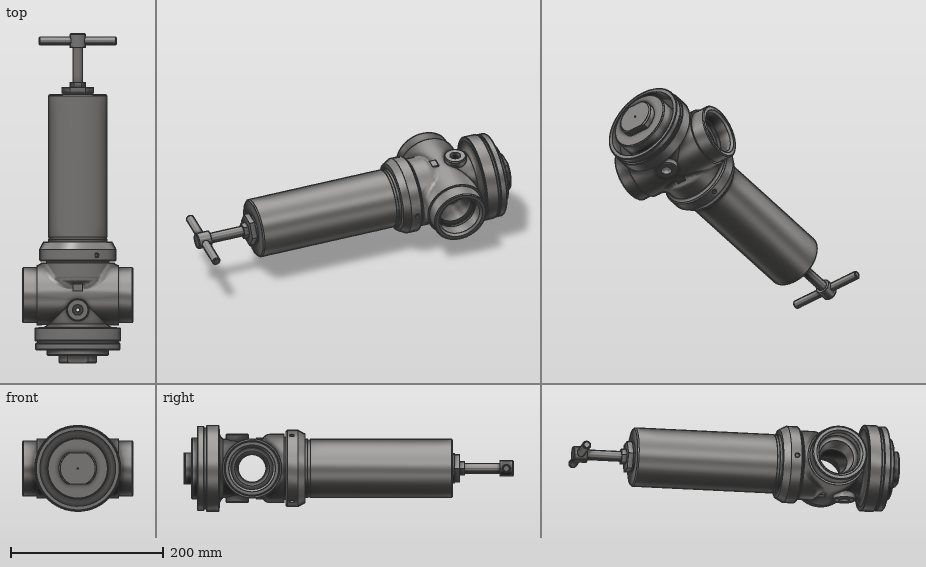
import cadquery as cq

port_half_length = 72.53
port_radius = 36.5
port_chamfer = 1.5
barrel_half_length = 53.3
barrel_radius = 39.0
port_bore_radius = 27.5
port_bore_depth = 24.5
port_bore_chamfer = 3.0
port_groove_radius = 30.0
port_groove_width = 6.0
port_step_radius = 23.0
throat_radius = 18.0
chamber_radius = 26.0
chamber_top = 26.0
neck_radius = 45.0
neck_top = 42.0
neck_round_start = 24.0
neck_round_radius = 11.0
neck_blend = 10.0
neck_spare_height = 43.5
spigot_radius = 41.0
spigot_top = 52.0
pad_width = 12.0
pad_end = 5.5
pad_height = 40.3
skirt_radius = 38.5
skirt_bottom = -38.0
skirt_blend_middle = (41.5, -41.0)
skirt_collar_radius = 51.0
skirt_collar_top = -43.0
flange_radius = 56.5
flange_top = -43.5
flange_bottom = -60.0
flange_chamfer = 1.0

boss_y = -19.5
boss_radius = 14.7
boss_height = 45.0
boss_chamfer = 1.5
boss_bore_radius = 7.0
boss_bore_depth = 13.0
boss_hole_radius = 2.5

cap_neck_radius = 53.3
cap_top = -50.2
rim_top = -63.2
rim_bottom = -72.0
rim_radius = 55.5
rim_chamfer = 1.0
rim_inner_radius = 50.0
rim_recess_depth = 17.5
hub_radius = 40.3
hub_bottom = -79.5
hub_chamfer = 1.5
stub_radius = 24.5
stub_bottom = -89.4
stub_chamfer = 1.7
stub_flat_width = 41.0
centre_hole_radius = 1.0
centre_hole_depth = 2.0

ring_bottom = 44.5
ring_radius = 50.2
ring_cone_start = 60.0
ring_top = 69.5
ring_top_radius = 45.0
ring_chamfer = 1.7
screw_hole_radius = 3.0
screw_hole_depth = 3.5
screw_hole_y = 52.5
screw_hole_angles = (60, 180, 300)

housing_radius = 38.5
housing_top = 263.5
housing_chamfer = 1.7
groove_radius = 37.5
groove_bottom = 73.0
groove_top = 76.5

gland_washer_radius = 19.5
gland_hex_bottom = 266.0
gland_top = 273.0
gland_corner_width = 41.5
lock_top = 279.5
lock_corner_width = 20.5

spindle_radius = 6.5
spindle_bottom = 251.0
spindle_head_radius = 10.18
spindle_head_bottom = 325.5
spindle_head_top = 343.6
spindle_chamfer = 1.5
bar_radius = 5.0
bar_half_length = 50.5
bar_chamfer = 1.5
bar_y = 334.3


def turned(*points):
    """Solid of revolution about Y from (radius, y) points, closed along the axis."""
    first_y = points[0][1]
    last_y = points[-1][1]
    outline = cq.Workplane("XY").moveTo(0, first_y)
    for radius, y in points:
        outline = outline.lineTo(radius, y)
    outline = outline.lineTo(0, last_y).close()
    return outline.revolve(360, (0, 0, 0), (0, 1, 0))


def y_cylinder(radius, bottom, top):
    return turned((radius, bottom), (radius, top))


def x_cylinder(radius, half_length):
    return cq.Workplane("YZ").circle(radius).extrude(half_length, both=True)


def z_cylinder(y, radius, half_height):
    return cq.Workplane("XY").center(0, y).circle(radius).extrude(half_height, both=True)


def hexagon(corner_width, bottom, top):
    """Hexagonal prism along Y with two corners on the X axis."""
    plane = cq.Workplane(cq.Plane((0, bottom, 0), (1, 0, 0), (0, 1, 0)))
    return plane.polygon(6, corner_width).extrude(top - bottom)


def make_tall_neck():
    """Upper neck, rounded off at its lower end and reaching above its finished height."""
    neck = y_cylinder(neck_radius, neck_round_start - neck_round_radius, neck_top + neck_spare_height)
    neck = neck.faces("<Y").edges().fillet(neck_round_radius)
    return neck.rotate((0, 0, 0), (0, 1, 0), 90)


def make_skirt():
    """Lower neck, flaring in an arc to a collar and the round flange."""
    return (
        cq.Workplane("XY")
        .moveTo(0, 0)
        .lineTo(skirt_radius, 0)
        .lineTo(skirt_radius, skirt_bottom)
        .threePointArc(skirt_blend_middle, (skirt_collar_radius, skirt_collar_top))
        .lineTo(skirt_collar_radius, flange_top)
        .lineTo(flange_radius - flange_chamfer, flange_top)
        .lineTo(flange_radius, flange_top - flange_chamfer)
        .lineTo(flange_radius, flange_bottom + flange_chamfer)
        .lineTo(flange_radius - flange_chamfer, flange_bottom)
        .lineTo(0, flange_bottom)
        .close()
        .revolve(360, (0, 0, 0), (0, 1, 0))
    )


def make_body():
    barrel = x_cylinder(barrel_radius, barrel_half_length)
    ports = x_cylinder(port_radius, port_half_length).faces("<X or >X").chamfer(port_chamfer)
    bosses = z_cylinder(boss_y, boss_radius, boss_height).faces("<Z or >Z").chamfer(boss_chamfer)
    body = barrel.union(make_tall_neck()).edges("%BSPLINE").fillet(neck_blend)
    body = body.cut(y_cylinder(barrel_half_length, neck_top, neck_top + neck_spare_height))
    body = body.union(make_skirt()).union(bosses).union(ports)
    body = body.union(y_cylinder(spigot_radius, neck_top, spigot_top))

    pad = cq.Workplane("XY").box(
        pad_width, neck_round_start - pad_end, 2 * pad_height, centered=(True, False, True)
    )
    body = body.union(pad.translate((0, pad_end, 0)))

    bore_floor = port_half_length - port_bore_depth
    for side in (-1, 1):
        bore = cq.Workplane("XY").polyline([
            (0, 0),
            (0, throat_radius),
            (side * chamber_radius, throat_radius),
            (side * bore_floor, port_step_radius),
            (side * bore_floor, port_groove_radius),
            (side * (bore_floor + port_groove_width), port_groove_radius),
            (side * (bore_floor + port_groove_width), port_bore_radius),
            (side * (port_half_length - port_bore_chamfer), port_bore_radius),
            (side * port_half_length, port_bore_radius + port_bore_chamfer),
            (side * port_half_length, 0),
        ]).close().revolve(360, (0, 0, 0), (1, 0, 0))
        body = body.cut(bore)

    body = body.cut(y_cylinder(chamber_radius, flange_bottom, chamber_top))
    body = body.cut(y_cylinder(cap_neck_radius, flange_bottom, cap_top))
    body = body.cut(z_cylinder(boss_y, boss_hole_radius, boss_height))
    for side in (-1, 1):
        bore = (
            cq.Workplane("XY", origin=(0, boss_y, side * boss_height))
            .circle(boss_bore_radius)
            .extrude(-side * boss_bore_depth)
        )
        body = body.cut(bore)
    return body


def make_bottom_cap():
    cap = turned(
        (cap_neck_radius, cap_top),
        (cap_neck_radius, rim_top),
        (rim_radius - rim_chamfer, rim_top),
        (rim_radius, rim_top - rim_chamfer),
        (rim_radius, rim_bottom + rim_chamfer),
        (rim_radius - rim_chamfer, rim_bottom),
        (rim_inner_radius, rim_bottom),
        (rim_inner_radius, rim_bottom + rim_recess_depth),
        (hub_radius, rim_bottom + rim_recess_depth),
        (hub_radius, hub_bottom + hub_chamfer),
        (hub_radius - hub_chamfer, hub_bottom),
    )
    stub = turned(
        (stub_radius, hub_bottom),
        (stub_radius, stub_bottom + stub_chamfer),
        (stub_radius - stub_chamfer, stub_bottom),
    )
    flats = cq.Workplane("XY").box(2 * stub_radius, 4 * stub_radius, stub_flat_width)
    stub = stub.intersect(flats.translate((0, stub_bottom, 0)))
    centre_hole = y_cylinder(centre_hole_radius, stub_bottom, stub_bottom + centre_hole_depth)
    return cap.union(stub).cut(centre_hole)


def make_ring_nut():
    ring = turned(
        (ring_radius - ring_chamfer, ring_bottom),
        (ring_radius, ring_bottom + ring_chamfer),
        (ring_radius, ring_cone_start),
        (ring_top_radius, ring_top),
    )
    ring = ring.cut(y_cylinder(spigot_radius, ring_bottom, spigot_top))
    ring = ring.cut(y_cylinder(housing_radius, spigot_top, ring_top))
    for angle in screw_hole_angles:
        hole = (
            cq.Workplane("YZ", origin=(ring_radius - screw_hole_depth, screw_hole_y, 0))
            .circle(screw_hole_radius)
            .extrude(2 * screw_hole_depth)
        )
        ring = ring.cut(hole.rotate((0, 0, 0), (0, 1, 0), angle))
    return ring


def make_housing():
    housing = turned(
        (housing_radius, spigot_top),
        (housing_radius, groove_bottom),
        (groove_radius, groove_bottom),
        (groove_radius, groove_top),
        (housing_radius, groove_top),
        (housing_radius, housing_top - housing_chamfer),
        (housing_radius - housing_chamfer, housing_top),
    )
    return housing.cut(y_cylinder(spindle_radius, spindle_bottom, housing_top))


def make_gland_nut():
    nut = hexagon(gland_corner_width, gland_hex_bottom, gland_top)
    nut = nut.union(y_cylinder(gland_washer_radius, housing_top, gland_hex_bottom))
    return nut.cut(y_cylinder(spindle_radius, housing_top, gland_top))


def make_lock_nut():
    nut = hexagon(lock_corner_width, gland_top, lock_top)
    return nut.cut(y_cylinder(spindle_radius, gland_top, lock_top))


def make_spindle():
    spindle = turned(
        (spindle_radius, spindle_bottom),
        (spindle_radius, spindle_head_bottom),
        (spindle_head_radius, spindle_head_bottom),
        (spindle_head_radius, spindle_head_top - spindle_chamfer),
        (spindle_head_radius - spindle_chamfer, spindle_head_top),
    )
    bar_hole = x_cylinder(bar_radius, spindle_head_radius).translate((0, bar_y, 0))
    return spindle.cut(bar_hole)


def make_cross_bar():
    bar = x_cylinder(bar_radius, bar_half_length).faces("<X or >X").chamfer(bar_chamfer)
    return bar.translate((0, bar_y, 0))


body = make_body()
bottom_cap = make_bottom_cap()
ring_nut = make_ring_nut()
housing = make_housing()
gland_nut = make_gland_nut()
lock_nut = make_lock_nut()
spindle = make_spindle()
cross_bar = make_cross_bar()

result = cq.Compound.makeCompound([
    body.val(),
    bottom_cap.val(),
    ring_nut.val(),
    housing.val(),
    gland_nut.val(),
    lock_nut.val(),
    spindle.val(),
    cross_bar.val(),
])